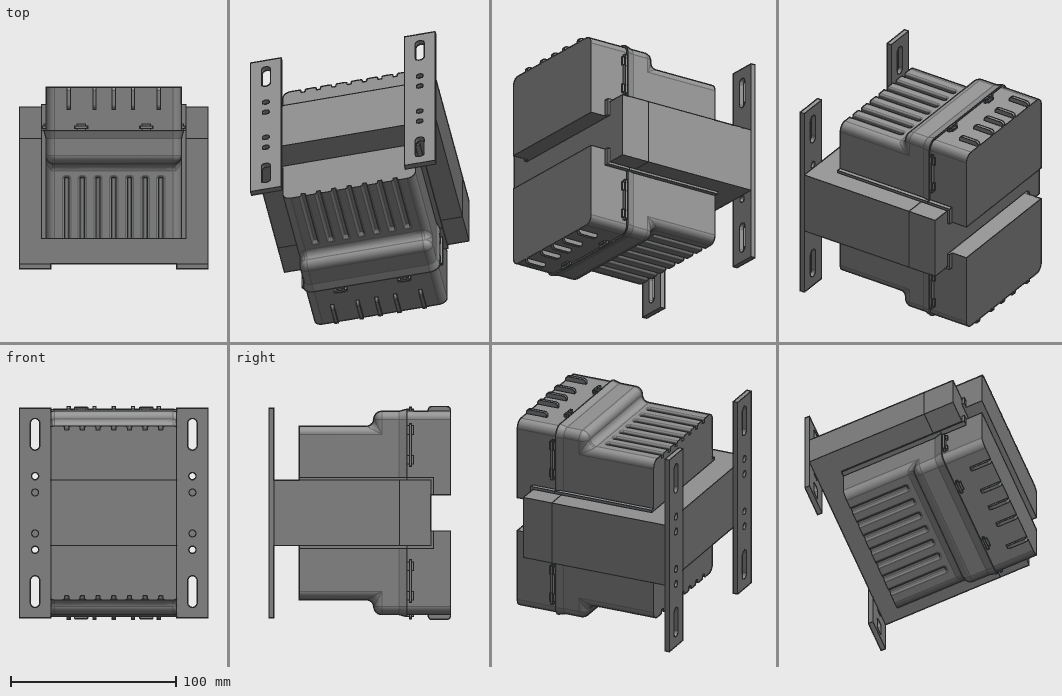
import cadquery as cq


core_width = 114.3
core_stack = 39.7
core_length = 95.0
yoke_depth = 19.05
foot_width = 19.05
foot_height = 127.0
foot_thickness = 3.0

slot_width = 5.6
slot_length = 19.05
slot_height_offset = 47.6
screw_hole_diameter = 4.2
screw_hole_offsets = (12.4, 22.3)

cover_width = 82.0
cover_corner_radius = 5.1
cover_top = 61.6
low_cover_top = 52.6
cover_front = 18.3
step_face = 63.4
step_root_radius = 4.3
part_depth = 110.0
cover_split = 83.7

flange_width = 87.6
flange_thickness = 1.6
terminal_skirt_bottom = 10.9

flare_length = 4.85
flare_height = 1.2
lip_length = 0.3

groove_count = 7
groove_pitch = 9.5
groove_width = 2.6
groove_depth = 2.5
groove_end = 55.2
groove_mouth_radius = 1.2
groove_floor_radius = 0.6

rib_positions = (-27.3, -11.65, 0, 11.65, 27.3)
rib_width = 2.0
rib_length = 13.6
rib_top = 64.45
rib_end_radius = 2.2

latch_post_width = 5.2
latch_post_height = 1.2
latch_post_length = 3.9
latch_bar_height = 2.5
latch_bar_thickness = 1.3
latch_bar_setback = 1.3
latch_bar_overhang = 1.45
latch_end_chamfer = 0.4
top_latch_offset = 19.75
side_latch_middle = 41.2
side_latch_spacing = 18.0

root_overlap = 1.0
pick_margin = 0.1

core_top = core_stack / 2
core_back = foot_thickness + core_length
yoke_joint = core_back - yoke_depth
foot_offset = (core_width - foot_width) / 2
cover_side = cover_width / 2
flange_top = core_top + flange_thickness
flange_back = core_back + flange_thickness


def block(x_range, y_range, z_range):
    """Box between the given limits along X, Y and Z."""
    size = [high - low for low, high in (x_range, y_range, z_range)]
    corner = (x_range[0], y_range[0], z_range[0])
    return cq.Workplane("XY").box(*size, centered=False).translate(corner)


def centered_block(width, y_range, z_range):
    """Box centred on X = 0."""
    return block((-width / 2, width / 2), y_range, z_range)


def core_part(front, back):
    """Part of the lamination stack that lies between two Y places."""
    return centered_block(core_width, (front, back), (-core_top, core_top))


def foot(x_center):
    """Mounting strip with two long slots and four screw holes."""
    strip = cq.Workplane("XZ").rect(foot_width, foot_height).extrude(-foot_thickness)
    slot_places = [(0, side * slot_height_offset) for side in (-1, 1)]
    hole_places = [(0, side * offset) for side in (-1, 1) for offset in screw_hole_offsets]
    slots = (
        cq.Workplane("XZ")
        .pushPoints(slot_places)
        .slot2D(slot_length, slot_width, 90)
        .extrude(-foot_thickness)
    )
    holes = (
        cq.Workplane("XZ")
        .pushPoints(hole_places)
        .circle(screw_hole_diameter / 2)
        .extrude(-foot_thickness)
    )
    return strip.cut(slots).cut(holes).translate((x_center, 0, 0))


def arch_section(y, growth=0.0):
    """Cover cross-section at a Y place, grown outwards at its sides and top."""
    side = cover_side + growth
    top = cover_top + growth
    radius = cover_corner_radius + growth
    diagonal = radius * (1 - 0.5 ** 0.5)
    return (
        cq.Workplane("XZ", origin=(0, y, 0))
        .moveTo(-side, core_top)
        .lineTo(-side, top - radius)
        .threePointArc((-side + diagonal, top - diagonal), (-side + radius, top))
        .lineTo(side - radius, top)
        .threePointArc((side - diagonal, top - diagonal), (side, top - radius))
        .lineTo(side, core_top)
        .close()
    )


def flare():
    """Collar that widens backwards and ends in a short straight lip."""
    lip_front = cover_split - lip_length
    cone_front = cover_split - flare_length
    cone_ends = [
        arch_section(cone_front).wire().val(),
        arch_section(lip_front, flare_height).wire().val(),
    ]
    cone = cq.Workplane("XY").newObject([cq.Solid.makeLoft(cone_ends, True)])
    lip = arch_section(cover_split, flare_height).extrude(lip_length)
    return cone.union(lip)


def front_shell():
    """High rear block and low front block joined by a rounded step."""
    high = (
        centered_block(cover_width, (step_face, cover_split), (core_top, cover_top))
        .edges("(|Y and >Z) or (<Y and (not <Z))")
        .fillet(cover_corner_radius)
    )
    low = (
        centered_block(cover_width, (cover_front, cover_split), (core_top, low_cover_top))
        .edges("|Y and >Z")
        .fillet(cover_corner_radius)
    )
    shell = high.union(low)
    root_edges = cq.selectors.BoxSelector(
        (-cover_side, step_face - pick_margin, low_cover_top - cover_corner_radius - pick_margin),
        (cover_side, step_face + cover_corner_radius + pick_margin, low_cover_top + pick_margin),
        boundingbox=True,
    )
    return shell.edges(root_edges).fillet(step_root_radius)


def groove(x_center):
    """Cutter for one open-ended cooling groove with a rounded floor."""
    return (
        block(
            (x_center - groove_width / 2, x_center + groove_width / 2),
            (cover_front, groove_end),
            (low_cover_top - groove_depth, low_cover_top),
        )
        .edges("|Z and >Y")
        .fillet(groove_floor_radius)
        .faces("<Z")
        .edges("not <Y")
        .fillet(groove_floor_radius)
    )


def front_cover():
    """Upper front cover piece."""
    shell = front_shell()
    for index in range(groove_count):
        x_center = (index - (groove_count - 1) / 2) * groove_pitch
        shell = shell.cut(groove(x_center))
    mouth_half = groove_count * groove_pitch / 2
    mouth_edges = cq.selectors.BoxSelector(
        (-mouth_half, cover_front - pick_margin, low_cover_top - pick_margin),
        (mouth_half, groove_end + pick_margin, low_cover_top + pick_margin),
        boundingbox=True,
    )
    front_face_edges = cq.selectors.BoxSelector(
        (-mouth_half, cover_front - pick_margin, low_cover_top - pick_margin),
        (mouth_half, cover_front + pick_margin, low_cover_top + pick_margin),
        boundingbox=True,
    )
    shell = shell.edges(mouth_edges - front_face_edges).fillet(groove_mouth_radius)
    flange = centered_block(flange_width, (cover_front, cover_split), (core_top, flange_top))
    return shell.union(flare()).union(flange)


def rib(x_center):
    """Rib on top of the terminal cover, rounded at both ends."""
    return (
        block(
            (x_center - rib_width / 2, x_center + rib_width / 2),
            (part_depth - rib_length, part_depth),
            (cover_top - root_overlap, rib_top),
        )
        .edges("|X and >Z")
        .fillet(rib_end_radius)
    )


def latch(post_offsets):
    """Latch on a face at Z = 0: posts along X, crossed by one bar."""
    bar_half = max(post_offsets) + latch_post_width / 2 + latch_bar_overhang
    bar_front = cover_split + latch_bar_setback
    hook = (
        centered_block(
            2 * bar_half,
            (bar_front, bar_front + latch_bar_thickness),
            (-root_overlap, latch_bar_height),
        )
        .edges("|Y and >Z")
        .chamfer(latch_end_chamfer)
    )
    for offset in post_offsets:
        post = centered_block(
            latch_post_width,
            (cover_split, cover_split + latch_post_length),
            (-root_overlap, latch_post_height),
        )
        hook = hook.union(post.translate((offset, 0, 0)))
    return hook


def terminal_cover():
    """Upper terminal cover piece, hooked over the back of the stack."""
    shell = centered_block(cover_width, (cover_split, part_depth), (terminal_skirt_bottom, cover_top))
    shell = shell.edges("|Y and >Z").fillet(cover_corner_radius)
    flange = centered_block(flange_width, (cover_split, flange_back), (terminal_skirt_bottom, flange_top))
    shell = shell.union(flange)
    for x_center in rib_positions:
        shell = shell.union(rib(x_center))
    for side in (-1, 1):
        top_latch = latch((0,)).translate((side * top_latch_offset, 0, cover_top))
        side_latch = (
            latch((-side_latch_spacing / 2, side_latch_spacing / 2))
            .rotate((0, 0, 0), (0, 1, 0), side * 90)
            .translate((side * cover_side, 0, side_latch_middle))
        )
        shell = shell.union(top_latch).union(side_latch)
    return shell.cut(core_part(foot_thickness, core_back))


e_core = core_part(foot_thickness, yoke_joint)
i_core = core_part(yoke_joint, core_back)
feet = [foot(side * foot_offset) for side in (-1, 1)]
upper_covers = [front_cover(), terminal_cover()]
lower_covers = [cover.mirror("XY") for cover in upper_covers]

bodies = [e_core, i_core, *feet, *upper_covers, *lower_covers]
result = cq.Compound.makeCompound([body.val() for body in bodies])